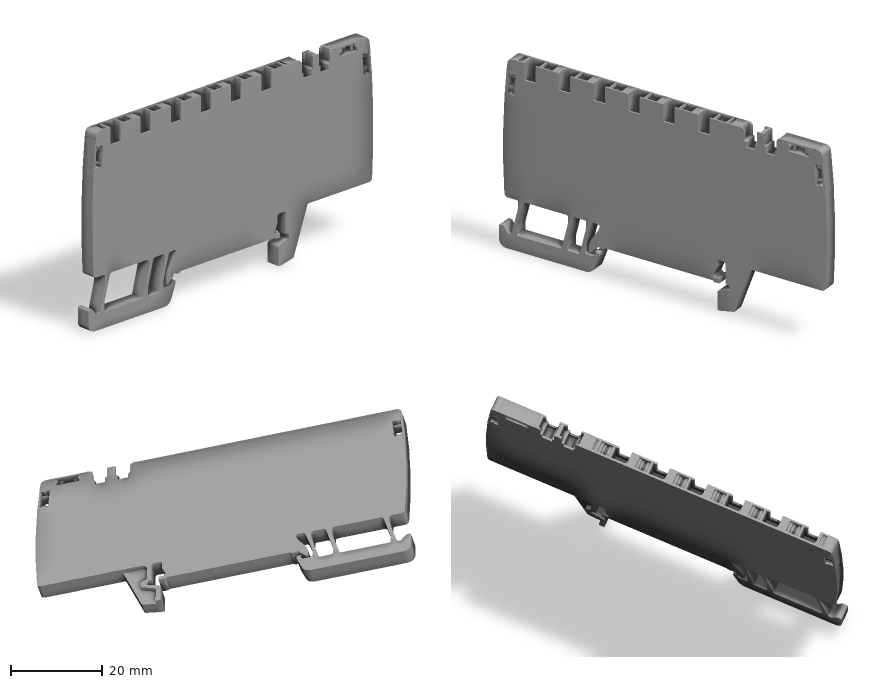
import cadquery as cq
import math


THICKNESS = 3.5
HEIGHT = 46.85
LENGTH = 85.09
ABOVE_TOP = HEIGHT + 1.0

SLAB_BOTTOM = 12.55
SLAB_Y_MAX = LENGTH
SLAB_Y_MIN = 1.05
SLAB_MID_Y = (SLAB_Y_MAX + SLAB_Y_MIN) / 2
SLAB_HALF = (SLAB_Y_MAX - SLAB_Y_MIN) / 2
SIDE_RADIUS = 190.0
SIDE_WIDEST_Z = 25.0
SLAB_TOP_RADIUS = 1.2
SLAB_BOTTOM_RADIUS = 0.9

FOOT_RECESS_DEPTH = 1.0
ROOT_OVERLAP = 1.5

RIB_Y = 67.92
NOTCH_FLOOR = 42.35
NOTCH_STEP = 43.85
NOTCH_SLOPE_BOTTOM = 43.55
NOTCH_SLOPE_TOP = 43.95
RIB_HALF = 0.92
RIB_FOOT_HALF = 1.38
NOTCH_OUTER_HALF = 4.21
NOTCH_FOOT_OUTER_HALF = 3.75
NOTCH_MOUTH_RADIUS = 0.85
NOTCH_MOUTH_MARGIN = 1.2
NOTCH_SINK_DEPTH = 1.0
NOTCH_POCKETS = ((68.57, 72.68), (62.93, 67.72))

POCKET_X_MIN = 0.48
POCKET_X_MAX = 3.07
TERMINAL_COUNT = 6
TERMINAL_PITCH = 9.03
FIRST_TERMINAL_Y = 58.73
ACTUATOR_STEPS = ((0.0, 0.65, 0.6), (0.65, 1.25, 1.2), (1.25, 2.0, 1.8), (2.0, 2.85, 1.0))
ENTRY_OFFSET = 3.35
ENTRY_LENGTH = 3.75
ENTRY_DEPTH = 6.0
ENTRY_CORNER_RADIUS = 0.6
ENTRY_SIDE_OPENING_DEPTH = 4.2
ENTRY_SIDE_STUB = 0.75
END_SLOTS = ((59.3, 60.0), (4.6, 5.8))
END_SLOT_DEPTH = 0.5

STRIP_LENGTH = 8.5
STRIP_THICKNESS = 0.45
STRIP_CLEARANCE = 0.06
STRIP_END_SLANT = 0.3
WINDOW_LENGTH = 5.2
WINDOW_DEPTH = 2.4
LIP_DEPTH = 1.3
LIP_REACH = 0.45
LIP_HEIGHT = 0.2
LEG_OUTER = 1.95
LEG_INNER_TIP = 1.45
LEG_INNER_ROOT = 1.15
LEG_WIDTH = 1.9
TOP_STRIP_Y = 77.78
END_STRIP_Z = 40.83


def rounded_outline(corners):
    """Closed outline in the YZ plane with a tangent arc at every corner that has a radius."""
    sketch = None
    count = len(corners)
    for index, corner in enumerate(corners):
        y, z = corner[0], corner[1]
        radius = corner[2] if len(corner) > 2 else 0
        if radius == 0:
            entry = (y, z)
            arc = None
        else:
            before = corners[index - 1]
            after = corners[(index + 1) % count]
            angle_in = math.atan2(before[1] - z, before[0] - y)
            angle_out = math.atan2(after[1] - z, after[0] - y)
            half = abs(math.remainder(angle_out - angle_in, 2 * math.pi)) / 2
            setback = radius / math.tan(half)
            bisector = angle_in + math.remainder(angle_out - angle_in, 2 * math.pi) / 2
            nearest = radius / math.sin(half) - radius
            entry = (y + setback * math.cos(angle_in), z + setback * math.sin(angle_in))
            middle = (y + nearest * math.cos(bisector), z + nearest * math.sin(bisector))
            leave = (y + setback * math.cos(angle_out), z + setback * math.sin(angle_out))
            arc = (middle, leave)
        sketch = cq.Workplane("YZ").moveTo(*entry) if sketch is None else sketch.lineTo(*entry)
        if arc:
            sketch = sketch.threePointArc(*arc)
    return sketch.close()


def plate(corners, x_min=0.0, x_max=THICKNESS):
    """Flat prism of an outline between two X planes."""
    return rounded_outline(corners).extrude(x_max - x_min).translate((x_min, 0, 0))


def block(x_range, y_range, z_range):
    """Axis-aligned box given by its X, Y and Z ranges."""
    sizes = [high - low for low, high in (x_range, y_range, z_range)]
    corner = (x_range[0], y_range[0], z_range[0])
    return cq.Workplane("XY").box(*sizes, centered=False).translate(corner)


def side_half_width(z):
    """Half length of the slab at height z, following the large end arcs."""
    rise = z - SIDE_WIDEST_Z
    return SLAB_HALF - SIDE_RADIUS + math.sqrt(SIDE_RADIUS ** 2 - rise ** 2)


def main_slab():
    top_half = side_half_width(HEIGHT)
    bottom_half = side_half_width(SLAB_BOTTOM)
    slab = (
        cq.Workplane("YZ")
        .moveTo(SLAB_MID_Y - bottom_half, SLAB_BOTTOM)
        .lineTo(SLAB_MID_Y + bottom_half, SLAB_BOTTOM)
        .threePointArc((SLAB_Y_MAX, SIDE_WIDEST_Z), (SLAB_MID_Y + top_half, HEIGHT))
        .lineTo(SLAB_MID_Y - top_half, HEIGHT)
        .threePointArc((SLAB_Y_MIN, SIDE_WIDEST_Z), (SLAB_MID_Y - bottom_half, SLAB_BOTTOM))
        .close()
        .extrude(THICKNESS)
    )
    slab = slab.edges("|X and >Z").fillet(SLAB_TOP_RADIUS)
    return slab.edges("|X and <Z").fillet(SLAB_BOTTOM_RADIUS)


def rail_base():
    """Latch foot, rail seat and the sprung rail foot below the slab, as one plate."""
    root = SLAB_BOTTOM + ROOT_OVERLAP
    latch_foot = [
        (65.5, root), (65.5, SLAB_BOTTOM), (61.25, 0.95, 0.6), (58.0, 0.3), (57.95, 0.2), (56.72, 0.2),
        (56.72, 4.9, 0.6), (59.3, 5.85), (59.85, 5.85), (59.85, 7.2, 0.5), (58.8, 7.2),
    ]
    latch_slot = [(58.8, SLAB_BOTTOM, 0.5), (56.45, SLAB_BOTTOM, 0.5), (56.45, 10.5), (55.55, 8.4, 0.3)]
    rail_seat = [
        (56.0, 7.9), (57.25, 7.9), (57.25, 6.85), (56.0, 6.8), (55.6, 7.15),
        (27.6, 7.15), (27.0, 6.8), (26.2, 6.85), (25.4, 7.15), (25.15, 6.3),
    ]
    seat_finger = [(24.6, 5.9), (23.85, 5.05), (23.35, 5.05), (23.35, 7.4, 4.0), (25.7, 10.9)]
    finger_slot = [
        (26.45, SLAB_BOTTOM, 0.5), (24.1, SLAB_BOTTOM, 0.6), (23.0, 8.9, 8.0), (22.35, 6.2, 3.0),
        (22.35, 4.3, 0.7), (25.05, 4.3, 0.8), (25.05, 5.7),
    ]
    rail_foot = [
        (25.95, 5.35, 0.2), (25.95, 4.7), (24.2, 0.0, 2.2), (0.0, 0.0, 1.8), (0.0, 5.4, 0.4),
        (1.1, 5.4, 0.4), (2.35, 3.75, 0.4), (3.2, 3.75, 0.6), (4.97, 10.7, 8.0), (4.97, SLAB_BOTTOM, 0.4),
        (3.0, SLAB_BOTTOM), (3.0, root),
    ]
    narrow_window = [
        (22.65, SLAB_BOTTOM, 0.4), (19.4, SLAB_BOTTOM, 0.7), (17.73, 6.0, 6.0),
        (17.73, 3.8, 0.4), (20.9, 3.8, 0.4), (22.65, 10.7, 6.0),
    ]
    wide_window = [
        (17.97, SLAB_BOTTOM, 0.5), (6.4, SLAB_BOTTOM, 0.9), (4.65, 6.0, 6.0),
        (4.65, 3.8, 0.4), (16.2, 3.8, 0.4), (17.97, 10.7, 6.0),
    ]
    base = plate(latch_foot + latch_slot + rail_seat + seat_finger + finger_slot + rail_foot)
    return base.cut(plate(narrow_window)).cut(plate(wide_window))


def latch_foot_recess():
    """Shallow recess in the -X face that leaves the latch strip standing proud."""
    beyond_y = 68.0
    below_z = -1.0
    outline = [
        (beyond_y, SLAB_BOTTOM), (59.8, SLAB_BOTTOM, 1.4), (59.8, 7.9, 1.0), (61.3, 7.2, 0.6), (61.3, 5.65),
        (57.75, 4.2), (57.75, 1.5), (58.0, 1.5), (58.0, below_z), (beyond_y, below_z),
    ]
    return plate(outline, 0, FOOT_RECESS_DEPTH)


def top_notches():
    """Two stepped notches mirrored about the rib, with wider and deeper middles."""
    mouth_edge = NOTCH_OUTER_HALF + NOTCH_MOUTH_MARGIN
    notch = [
        (RIB_HALF, ABOVE_TOP), (RIB_HALF, NOTCH_STEP),
        (RIB_FOOT_HALF, NOTCH_STEP), (RIB_FOOT_HALF, NOTCH_FLOOR),
        (NOTCH_FOOT_OUTER_HALF, NOTCH_FLOOR), (NOTCH_FOOT_OUTER_HALF, NOTCH_SLOPE_BOTTOM),
        (NOTCH_OUTER_HALF, NOTCH_SLOPE_TOP), (NOTCH_OUTER_HALF, HEIGHT, NOTCH_MOUTH_RADIUS),
        (mouth_edge, HEIGHT), (mouth_edge, ABOVE_TOP),
    ]
    plus_side = plate(notch)
    cutter = plus_side.union(plus_side.mirror("XZ")).translate((0, RIB_Y, 0))
    for y_range in NOTCH_POCKETS:
        cutter = cutter.union(block((POCKET_X_MIN, POCKET_X_MAX), y_range, (NOTCH_STEP, ABOVE_TOP)))
    sunk_z = (NOTCH_FLOOR - NOTCH_SINK_DEPTH, NOTCH_STEP)
    for sunk_y in (
        (RIB_Y + RIB_FOOT_HALF, RIB_Y + NOTCH_FOOT_OUTER_HALF),
        (RIB_Y - NOTCH_FOOT_OUTER_HALF, RIB_Y - RIB_FOOT_HALF),
    ):
        cutter = cutter.union(block((POCKET_X_MIN, POCKET_X_MAX), sunk_y, sunk_z))
    return cutter


def terminal_cutter(start_y):
    """Stepped actuator recess and wire entry of one terminal, from start_y toward -Y."""
    pocket_x = (POCKET_X_MIN, POCKET_X_MAX)
    entry_y = (start_y - ENTRY_OFFSET - ENTRY_LENGTH, start_y - ENTRY_OFFSET)
    side_y = (entry_y[0], entry_y[1] - ENTRY_SIDE_STUB)
    entry = block(pocket_x, entry_y, (HEIGHT - ENTRY_DEPTH, ABOVE_TOP))
    entry = entry.edges("|Z and <X and <Y").fillet(ENTRY_CORNER_RADIUS)
    side_opening = block((POCKET_X_MAX, THICKNESS), side_y, (HEIGHT - ENTRY_SIDE_OPENING_DEPTH, ABOVE_TOP))
    cutter = entry.union(side_opening)
    for offset, end, depth in ACTUATOR_STEPS:
        cutter = cutter.union(block(pocket_x, (start_y - end, start_y - offset), (HEIGHT - depth, ABOVE_TOP)))
    return cutter


def placed(corners, origin, tilt):
    """Turn strip coordinates (along, inward) into YZ corners; tilt is the outward normal's angle."""
    outward = (math.cos(tilt), math.sin(tilt))
    along = (outward[1], -outward[0])
    return [
        (origin[0] + s * along[0] - n * outward[0], origin[1] + s * along[1] - n * outward[1])
        for s, n in corners
    ]


def label_strip(origin, tilt):
    """Label strip with two snap legs."""
    half = STRIP_LENGTH / 2
    bar = [(-half, 0), (half, 0), (half - STRIP_END_SLANT, STRIP_THICKNESS),
           (STRIP_END_SLANT - half, STRIP_THICKNESS)]
    leg_x = ((THICKNESS - LEG_WIDTH) / 2, (THICKNESS + LEG_WIDTH) / 2)
    strip = plate(placed(bar, origin, tilt))
    for side in (-1, 1):
        leg = [(side * LEG_OUTER, 0), (side * LEG_OUTER, WINDOW_DEPTH), (side * LEG_INNER_TIP, WINDOW_DEPTH),
               (side * LEG_INNER_ROOT, STRIP_THICKNESS), (side * LEG_INNER_ROOT, 0)]
        strip = strip.union(plate(placed(leg, origin, tilt), *leg_x))
    return strip


def label_cavity(origin, tilt):
    """Seat of a label strip and the lipped window behind it."""
    half = STRIP_LENGTH / 2 + STRIP_CLEARANCE
    seat_depth = STRIP_THICKNESS + STRIP_CLEARANCE
    outside = -1.0
    seat = [(-half, outside), (half, outside), (half, 0), (half - STRIP_END_SLANT, seat_depth),
            (STRIP_END_SLANT - half, seat_depth), (-half, 0)]
    edge = WINDOW_LENGTH / 2
    side = [(edge, 0), (edge, seat_depth), (edge - LIP_REACH, LIP_DEPTH), (edge, LIP_DEPTH + LIP_HEIGHT),
            (edge, WINDOW_DEPTH)]
    window = side + [(-s, n) for s, n in reversed(side)]
    return plate(placed(seat, origin, tilt)).union(plate(placed(window, origin, tilt)))


end_lean = math.asin((END_STRIP_Z - SIDE_WIDEST_Z) / SIDE_RADIUS)
end_half = side_half_width(END_STRIP_Z)
top_place = ((TOP_STRIP_Y, HEIGHT), math.pi / 2)
end_places = (
    ((SLAB_MID_Y + end_half, END_STRIP_Z), end_lean),
    ((SLAB_MID_Y - end_half, END_STRIP_Z), math.pi - end_lean),
)

housing = main_slab().union(rail_base()).cut(latch_foot_recess()).cut(top_notches())
for terminal in range(TERMINAL_COUNT):
    housing = housing.cut(terminal_cutter(FIRST_TERMINAL_Y - terminal * TERMINAL_PITCH))
for slot_y in END_SLOTS:
    housing = housing.cut(block((POCKET_X_MIN, POCKET_X_MAX), slot_y, (HEIGHT - END_SLOT_DEPTH, HEIGHT)))
for place in end_places:
    housing = housing.cut(label_cavity(*place)).union(label_strip(*place))
housing = housing.cut(label_cavity(*top_place))

top_label = label_strip(*top_place)

result = cq.Compound.makeCompound([*housing.solids().vals(), *top_label.solids().vals()])